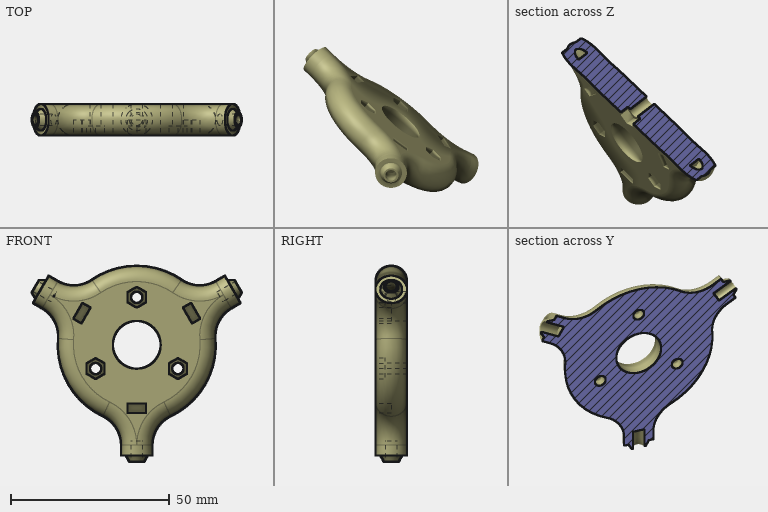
import cadquery as cq
import math

overall_width = 66.4
tube_diameter = 10.0
ring_radius = 20.0
bend_radius = 15.0
arm_reach = 35.0
nozzle_base_diameter = 6.9
nozzle_tip_diameter = 4.7
nozzle_bore_diameter = 3.6
nozzle_bore_depth = 6.65
center_hole_diameter = 15.0
bolt_circle_radius = 15.0
bolt_hole_diameter = 3.5
nut_width = 5.7
nut_pocket_depth = 3.0
slot_width = 5.8
slot_height = 3.0

arm_count = 3
arm_spacing = 360 / arm_count
tube_radius = tube_diameter / 2
front_y = -tube_radius
slot_depth = tube_radius
straight_start = math.sqrt((ring_radius + bend_radius) ** 2 - bend_radius ** 2)
tangent_angle = math.atan2(bend_radius, straight_start)
bend_sweep = 90 - math.degrees(tangent_angle)
upper_arm_angle = math.radians(30)
nozzle_reach = (
    overall_width / 2 - nozzle_tip_diameter / 2 * math.sin(upper_arm_angle)
) / math.cos(upper_arm_angle)


def around_center(feature):
    """Copies of a feature at equal angles about the Y axis."""
    return [
        feature.rotate((0, 0, 0), (0, 1, 0), index * arm_spacing)
        for index in range(arm_count)
    ]


def front_plane():
    """Sketch plane on the front face: local x is X, local y is Z, depth is negative."""
    return cq.Workplane("XZ", origin=(0, front_y, 0))


def rounded_disc():
    """Flat disc whose rim is half of the tube's round section."""
    return (
        cq.Workplane("XY")
        .moveTo(0, -tube_radius)
        .lineTo(ring_radius, -tube_radius)
        .threePointArc((ring_radius + tube_radius, 0), (ring_radius, tube_radius))
        .lineTo(0, tube_radius)
        .close()
        .revolve(360, (0, 0, 0), (0, 1, 0))
    )


def arm_web():
    """Flat wedge between the two bend centrelines of the downward arm."""
    tangent_x = ring_radius * math.sin(tangent_angle)
    tangent_z = -ring_radius * math.cos(tangent_angle)
    middle_angle = math.radians(bend_sweep / 2)
    middle_x = bend_radius * (1 - math.cos(middle_angle))
    middle_z = -straight_start + bend_radius * math.sin(middle_angle)
    return (
        cq.Workplane("XZ")
        .moveTo(0, 0)
        .lineTo(tangent_x, tangent_z)
        .threePointArc((middle_x, middle_z), (0, -straight_start))
        .threePointArc((-middle_x, middle_z), (-tangent_x, tangent_z))
        .close()
        .extrude(tube_radius, both=True)
    )


def bend():
    """Round tube that turns from the rim into the downward arm, on the +X side."""
    return (
        cq.Workplane("XY", origin=(0, 0, -straight_start))
        .circle(tube_radius)
        .revolve(bend_sweep, (bend_radius, 0, 0), (bend_radius, 1, 0))
    )


def arm_end():
    """Straight end of the downward arm with its tapered nozzle."""
    straight = (
        cq.Workplane("XY", origin=(0, 0, -arm_reach))
        .circle(tube_radius)
        .extrude(arm_reach - straight_start)
    )
    nozzle = (
        cq.Workplane("XY", origin=(0, 0, -nozzle_reach))
        .circle(nozzle_tip_diameter / 2)
        .workplane(offset=nozzle_reach - arm_reach)
        .circle(nozzle_base_diameter / 2)
        .loft()
    )
    return straight.union(nozzle)


def nozzle_bore():
    """Blind bore along the axis of the downward arm, open at the nozzle tip."""
    return (
        cq.Workplane("XY", origin=(0, 0, -nozzle_reach))
        .circle(nozzle_bore_diameter / 2)
        .extrude(nozzle_bore_depth)
    )


def nut_and_bolt_hole():
    """Hexagonal nut pocket, points up and down, over a through bolt hole."""
    nut_corner_diameter = nut_width / math.cos(math.radians(30))
    pocket = (
        front_plane()
        .center(0, bolt_circle_radius)
        .transformed(rotate=(0, 0, 90))
        .polygon(6, nut_corner_diameter)
        .extrude(-nut_pocket_depth)
    )
    hole = (
        front_plane()
        .center(0, bolt_circle_radius)
        .circle(bolt_hole_diameter / 2)
        .extrude(-tube_diameter)
    )
    return pocket.union(hole)


def slot():
    """Blind rectangular pocket at the root of the downward arm."""
    return (
        front_plane()
        .center(0, -ring_radius)
        .rect(slot_width, slot_height)
        .extrude(-slot_depth)
    )


center_hole = front_plane().circle(center_hole_diameter / 2).extrude(-tube_diameter)

result = rounded_disc()
for feature in (arm_web(), bend(), bend().mirror("YZ"), arm_end()):
    for copy in around_center(feature):
        result = result.union(copy)

result = result.cut(center_hole)
for feature in (nozzle_bore(), nut_and_bolt_hole(), slot()):
    for copy in around_center(feature):
        result = result.cut(copy)